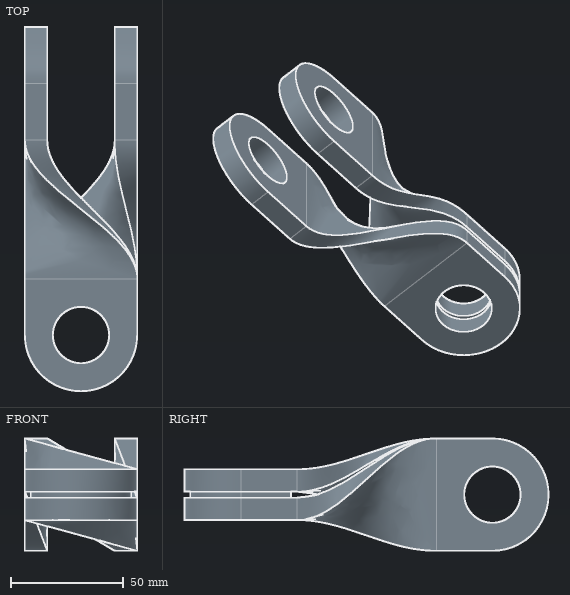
import cadquery as cq

overall_length = 162.0
strap_width = 50.0
strap_thickness = 10.0
flat_length = 50.0
hole_diameter = 25.0
spacer_thickness = 2.6
spacer_inset = 2.6
tangent_reach = 0.36

half_width = strap_width / 2
half_gap = spacer_thickness / 2
twist_start = overall_length / 2 - flat_length
twist_end = -overall_length / 2 + flat_length


def flat_end(thickness, inset=0):
    """Plate on the XY plane, square edge near y = 0, round tip towards -Y, bored on the tip center.

    The inset pulls the outline in and widens the hole by the same distance.
    """
    tip_center_y = half_width - flat_length
    tip_radius = half_width - inset
    hole = cq.Workplane("XY").center(0, tip_center_y).circle(hole_diameter / 2 + inset).extrude(thickness)
    return (
        cq.Workplane("XY")
        .moveTo(-tip_radius, -inset)
        .lineTo(-tip_radius, tip_center_y)
        .threePointArc((0, tip_center_y - tip_radius), (tip_radius, tip_center_y))
        .lineTo(tip_radius, -inset)
        .close()
        .extrude(thickness)
        .cut(hole)
    )


def twist_edge(start_corner, end_corner):
    """Cubic corner edge that leaves both flat ends tangent to Y."""
    reach = tangent_reach * (twist_end - twist_start)
    x0, z0 = start_corner
    x1, z1 = end_corner
    return cq.Edge.makeBezier([
        cq.Vector(x0, twist_start, z0),
        cq.Vector(x0, twist_start + reach, z0),
        cq.Vector(x1, twist_end - reach, z1),
        cq.Vector(x1, twist_end, z1),
    ])


def twisted_middle():
    """Quarter twist from the upright end section to the flat end section."""
    outer_x = -half_width
    inner_x = outer_x + strap_thickness
    lower_z = half_gap
    upper_z = lower_z + strap_thickness
    upright_corners = [
        (outer_x, half_width),
        (outer_x, -half_width),
        (inner_x, -half_width),
        (inner_x, half_width),
    ]
    flat_corners = [
        (half_width, upper_z),
        (-half_width, upper_z),
        (-half_width, lower_z),
        (half_width, lower_z),
    ]
    edges = [twist_edge(start, end) for start, end in zip(upright_corners, flat_corners)]
    next_edges = edges[1:] + edges[:1]
    sides = [cq.Face.makeRuledSurface(edge, following) for edge, following in zip(edges, next_edges)]
    caps = []
    for corners, y in ((upright_corners, twist_start), (flat_corners, twist_end)):
        outline = cq.Wire.makePolygon([cq.Vector(x, y, z) for x, z in corners], close=True)
        caps.append(cq.Face.makeFromWires(outline))
    return cq.Workplane(cq.Solid.makeSolid(cq.Shell.makeShell(sides + caps)).fix())


def twisted_strap():
    """Strap with its upright end on the -X side and its flat end above the spacer."""
    upright_end = (
        flat_end(strap_thickness)
        .rotate((0, 0, 0), (0, 0, 1), 180)
        .rotate((0, 0, 0), (0, 1, 0), 90)
        .translate((-half_width, twist_start, 0))
    )
    stacked_end = flat_end(strap_thickness).translate((0, twist_end, half_gap))
    return twisted_middle().union(upright_end).union(stacked_end)


def spacer():
    """Plate filling the gap between the stacked ends, set back from their edges."""
    return flat_end(spacer_thickness, spacer_inset).translate((0, twist_end, -half_gap))


strap = twisted_strap()
opposite_strap = strap.rotate((0, 0, 0), (0, 1, 0), 180)
result = strap.union(spacer()).union(opposite_strap)